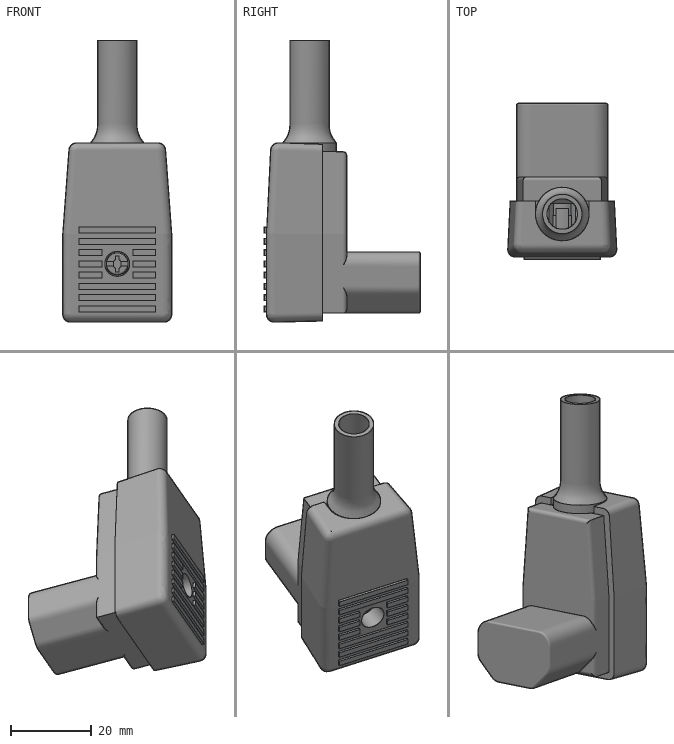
import cadquery as cq
import math


front_y = -10.8
parting_y = 3.25
base_back_y = 9.3
plug_end_y = 27.7
knee_z = 22.05
tolerance = 0.1

cover_bottom_z = -0.05
cover_half_width = 13.7
cover_top_z = 44.9
cover_top_half_width = 12.1
cover_round = 2.0
side_draft = 0.7
top_draft = 0.5
bottom_draft = 0.3
front_lean = 1.1

screw_z = 14.6
rib_pitch = 2.8
rib_height = 1.5
rib_half_length = 9.5
rib_gap_half = 3.9
rib_rise = 0.55
rib_root = 0.55
screw_hole_radius = 3.1
screw_seat_y = -4.65

base_half_width = 11.4
base_top_half_width = 9.8
base_top_z = 42.6
base_bottom_z = 2.25
base_round = 1.0

plug_top_z = 17.6
plug_top_round = 3.65
plug_chamfer = 5.35
plug_chamfer_round = 3.0
plug_end_round = 0.5

boot_top_z = 70.4
tube_radius = 4.9
bore_radius = 3.8
collar_radius = 6.7
flare_top_z = 49.3
flare_bottom_z = 44.8

channel_half_width = 3.3
channel_front_y = -3.95
tongue_y = 2.7
tongue_chamfer = 1.3
channel_bottom_z = 10.55
shoulder_x = 7.0
shoulder_z = 15.5
shoulder_radius = 5.0
post_radius = 3.3
post_half_width = 2.25
sleeve_radius = 4.2
sleeve_back_y = -0.4
key_radius = 5.2
key_half_width = 1.6
key_back_y = 1.4

head_radius = 2.75
head_height = 1.4
head_round = 0.4
shank_radius = 1.0
shank_end_y = 7.05
slot_half_height = 0.55
slot_depth = 0.5
cross_depth = 1.0
cross_half_width = 0.5
cross_half_height = 2.0
cross_center_half = 1.0
cross_corner_z = 1.1


def box(x_min, x_max, y_min, y_max, z_min, z_max):
    return cq.Workplane("XY").box(
        x_max - x_min, y_max - y_min, z_max - z_min, centered=False
    ).translate((x_min, y_min, z_min))


def y_cylinder(radius, x, z, y_min, y_max):
    return cq.Workplane("XY").add(
        cq.Solid.makeCylinder(radius, y_max - y_min, cq.Vector(x, y_min, z), cq.Vector(0, 1, 0))
    )


def shield_points(half_width, top_half_width, bottom_z, top_z):
    """Outline in XZ: upright sides up to the knee, then sloping inward to the top."""
    right = [(half_width, bottom_z), (half_width, knee_z), (top_half_width, top_z)]
    left = [(-x, z) for x, z in reversed(right)]
    return right + left


def xz_plane(y):
    """Sketch plane facing -Y at the given Y, with local axes X and Z."""
    return cq.Workplane("XZ", origin=(0, y, 0))


def build_channel(back_y):
    return box(-channel_half_width, channel_half_width, channel_front_y, back_y,
               channel_bottom_z, base_top_z)


def build_cover_shell():
    """Drafted, rounded block of the cover, without ribs or openings."""
    top_slope = (cover_half_width - cover_top_half_width) / (cover_top_z - knee_z)
    back_top_z = cover_top_z - top_draft
    back_half_width = cover_half_width - side_draft
    back_top_half_width = back_half_width - top_slope * (back_top_z - knee_z)
    front = shield_points(cover_half_width, cover_top_half_width, cover_bottom_z, cover_top_z)
    back = shield_points(back_half_width, back_top_half_width, bottom_draft, back_top_z)
    shell = (
        xz_plane(parting_y).polyline(back).close()
        .workplane(offset=parting_y - front_y).polyline(front).close()
        .loft(ruled=True)
    )
    lean_cut = (
        cq.Workplane("YZ").workplane(offset=-cover_half_width)
        .polyline([(front_y, knee_z), (front_y + front_lean, cover_top_z), (front_y, cover_top_z)])
        .close().extrude(2 * cover_half_width)
    )
    shell = shell.cut(lean_cut)

    def is_rounded(edge):
        """True for all edges but those on the parting plane and along the knee."""
        bounds = edge.BoundingBox()
        on_back = bounds.ymin > parting_y - tolerance
        on_knee = max(abs(bounds.zmin - knee_z), abs(bounds.zmax - knee_z)) < tolerance
        return not (on_back or on_knee)

    rounded = [edge for edge in shell.edges().vals() if is_rounded(edge)]
    return shell.newObject(rounded).fillet(cover_round)


def build_ribs():
    ribs = cq.Workplane("XY")
    for row in range(-4, 4):
        z_min = screw_z + row * rib_pitch - rib_height / 2
        spans = [(-rib_half_length, rib_half_length)]
        if abs(row) <= 1:
            spans = [(-rib_half_length, -rib_gap_half), (rib_gap_half, rib_half_length)]
        for x_min, x_max in spans:
            ribs = ribs.add(box(x_min, x_max, front_y - rib_rise, front_y + rib_root,
                                z_min, z_min + rib_height))
    return ribs


def build_cover():
    cover = build_cover_shell()
    for rib in build_ribs().vals():
        cover = cover.union(cq.Workplane(rib))
    collar_seat = cq.Workplane("XY").workplane(offset=base_top_z).circle(collar_radius).extrude(
        cover_top_z - base_top_z)
    collar_slot = box(-collar_radius, collar_radius, 0, parting_y, base_top_z, cover_top_z)
    cover = cover.cut(collar_seat).cut(collar_slot)
    cover = cover.cut(build_channel(parting_y))
    cover = cover.cut(y_cylinder(screw_hole_radius, 0, screw_z, front_y, screw_seat_y))
    return cover.cut(y_cylinder(shank_radius, 0, screw_z, screw_seat_y, channel_front_y))


def build_back_block():
    outline = shield_points(base_half_width, base_top_half_width, base_bottom_z, base_top_z)
    block = xz_plane(base_back_y).polyline(outline).close().extrude(base_back_y - parting_y)
    return block.faces(">Y").edges().fillet(base_round)


def build_plug():
    plug = box(-base_half_width, base_half_width, parting_y, plug_end_y, base_bottom_z, plug_top_z)
    plug = plug.edges("|Y and >Z").fillet(plug_top_round)
    plug = plug.edges("|Y and <Z").chamfer(plug_chamfer)
    chamfer_top_z = base_bottom_z + plug_chamfer
    lower_edges = cq.selectors.BoxSelector(
        (-base_half_width - tolerance, parting_y, base_bottom_z - tolerance),
        (base_half_width + tolerance, plug_end_y, chamfer_top_z + tolerance),
    )
    plug = plug.edges("|Y").edges(lower_edges).fillet(plug_chamfer_round)
    plug = plug.faces(">Y").edges().fillet(plug_end_round)
    inside_block = box(-base_half_width, base_half_width, parting_y, base_back_y - base_round,
                       base_bottom_z, plug_top_z)
    return plug.cut(inside_block)


def rounded_rib(radius, half_width, back_y):
    """Rib along Y with a round top centred on the screw axis and upright sides."""
    sides = box(-half_width, half_width, channel_front_y, back_y,
                channel_bottom_z, screw_z + radius)
    return y_cylinder(radius, 0, screw_z, channel_front_y, back_y).intersect(sides)


def build_carrier():
    """Part of the base inside the cable channel: shoulders, screw post and tongue."""
    carrier = box(-channel_half_width, channel_half_width, channel_front_y, parting_y,
                  channel_bottom_z, screw_z)
    channel = build_channel(parting_y)
    for side in (-1, 1):
        shoulder = y_cylinder(shoulder_radius, side * shoulder_x, shoulder_z,
                              channel_front_y, parting_y)
        inner_x, outer_x = sorted((side * post_half_width, side * channel_half_width))
        filling = box(inner_x, outer_x, channel_front_y, parting_y, screw_z, shoulder_z)
        carrier = carrier.union(shoulder.intersect(channel)).union(filling)
    carrier = carrier.union(rounded_rib(post_radius, post_half_width, parting_y))
    carrier = carrier.union(rounded_rib(sleeve_radius, post_half_width, sleeve_back_y))
    carrier = carrier.union(rounded_rib(key_radius, key_half_width, key_back_y))
    tongue = box(-channel_half_width, channel_half_width, tongue_y, parting_y,
                 channel_bottom_z, base_top_z)
    return carrier.union(tongue)


def build_base():
    base = build_back_block().union(build_plug()).union(build_carrier())
    chamfer_cut = (
        cq.Workplane("YZ").workplane(offset=-channel_half_width)
        .polyline([(tongue_y, base_top_z - tongue_chamfer), (tongue_y + tongue_chamfer, base_top_z),
                   (tongue_y, base_top_z)])
        .close().extrude(2 * channel_half_width)
    )
    base = base.cut(chamfer_cut)
    return base.cut(y_cylinder(shank_radius, 0, screw_z, channel_front_y, shank_end_y))


def build_boot():
    flare_drop = flare_top_z - flare_bottom_z
    flare_out = collar_radius - tube_radius
    flare_radius = (flare_out**2 + flare_drop**2) / (2 * flare_out)
    half_angle = math.asin(flare_drop / flare_radius) / 2
    flare_middle = (
        tube_radius + flare_radius * (1 - math.cos(half_angle)),
        flare_top_z - flare_radius * math.sin(half_angle),
    )
    return (
        cq.Workplane("XZ")
        .moveTo(bore_radius, base_top_z)
        .lineTo(collar_radius, base_top_z)
        .lineTo(collar_radius, flare_bottom_z)
        .threePointArc(flare_middle, (tube_radius, flare_top_z))
        .lineTo(tube_radius, boot_top_z)
        .lineTo(bore_radius, boot_top_z)
        .close()
        .revolve(360, (0, 0, 0), (0, 1, 0))
    )


def build_screw():
    head_front_y = screw_seat_y - head_height
    head = y_cylinder(head_radius, 0, screw_z, head_front_y, screw_seat_y)
    head = head.faces("<Y").edges().fillet(head_round)
    slot = box(-head_radius, head_radius, head_front_y, head_front_y + slot_depth,
               screw_z - slot_half_height, screw_z + slot_half_height)
    quarter = [
        (cross_center_half, slot_half_height),
        (cross_half_width, cross_corner_z),
        (cross_half_width, cross_half_height),
    ]
    upper = quarter + [(-x, z) for x, z in reversed(quarter)]
    lower = [(-x, -z) for x, z in upper]
    cross = cq.Workplane("XZ", origin=(0, head_front_y + cross_depth, screw_z)).polyline(
        upper + lower).close().extrude(cross_depth)
    shank = y_cylinder(shank_radius, 0, screw_z, screw_seat_y, shank_end_y)
    return head.cut(slot).cut(cross).union(shank)


cover = build_cover()
base = build_base()
boot = build_boot()
screw = build_screw()
bodies = [cover, base, boot, screw]
result = cq.Compound.makeCompound([body.solids().val() for body in bodies])